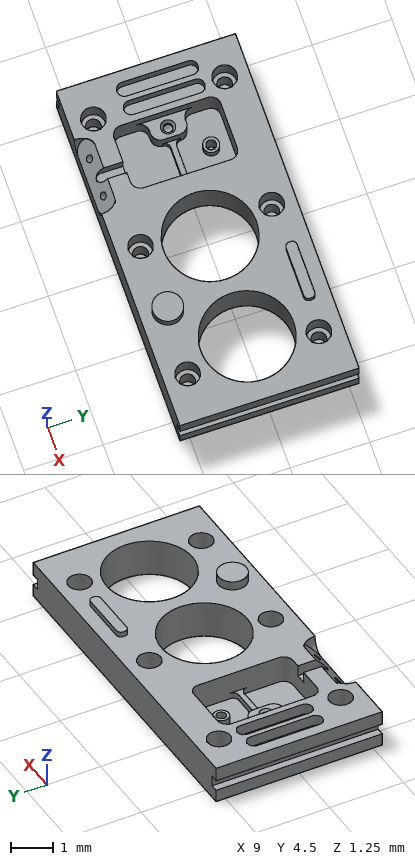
import cadquery as cq
import math

plate_length = 9.0
plate_width = 4.5
plate_thickness = 1.01
front_y = -plate_width / 2

side_groove_depth = 0.2
side_groove_bottom = 0.34
side_groove_height = 0.29

screw_first_x = -3.55
screw_pitch_x = 3.43
screw_columns = 3
screw_y = 1.65
screw_diameter = 0.38
screw_head_diameter = 0.6
screw_head_depth = 0.5

bore_diameter = 2.32
bore_x_positions = (0.17, 2.87)

slot_width = 0.37
slot_length = 2.03
slot_depth = 0.3
slot_y = 0.13
slot_x_positions = (-4.02, -3.53)

pocket_left = -3.18
pocket_length = 1.67
pocket_width = 2.68
pocket_depth = 0.74
pocket_corner_radius = 0.25
pocket_right = pocket_left + pocket_length
pocket_floor = plate_thickness - pocket_depth

pad_height = 0.43
rib_height = 0.16
pad_length = 0.56
pad_half_width = 0.45
pad_corner_radius = 0.24
pad_right = pocket_left + pad_length
rib_half_width = 0.07
rib_flare_radius = 0.15

pad_hole_x = -2.89
pad_hole_diameter = 0.23
pad_hole_depth = 0.15
countersink_diameter = 0.36
drill_point_angle = 118.0

post_x = -2.205
post_y = 0.85
post_diameter = 0.405
post_bore_diameter = 0.25
post_height = 0.22

recess_x = -2.2
recess_length = 2.0
recess_width = 0.6
pin_hole_pitch = 1.0
pin_hole_diameter = 0.19
pin_hole_depth = 0.4
recess_depth = recess_width / 2

channel_x = -2.14
channel_width = 0.29
channel_depth = 0.3
channel_start_y = -pocket_width / 2 + channel_width
channel_end_y = -2.05

bar_x = 1.74
bar_y = 1.73
bar_length = 1.51
bar_width = 0.28
bar_height = 0.14
bar_corner_radius = 0.12
boss_x = 1.63
boss_y = -1.57
boss_diameter = 0.76
boss_height = 0.24


def plane_at(height):
    """Horizontal workplane at the given height."""
    return cq.Workplane("XY").workplane(offset=height)


def make_plate():
    plate = cq.Workplane("XY").box(plate_length, plate_width, plate_thickness, centered=(True, True, False))
    for side in (-1, 1):
        groove = plane_at(side_groove_bottom).center(side * plate_length / 2, 0)
        plate = plate.cut(groove.rect(2 * side_groove_depth, plate_width).extrude(side_groove_height))
    return plate


def cut_holes_and_slots(body):
    screw_x_positions = [screw_first_x + i * screw_pitch_x for i in range(screw_columns)]
    screw_points = [(x, y) for x in screw_x_positions for y in (-screw_y, screw_y)]
    bore_points = [(x, 0) for x in bore_x_positions]
    slot_points = [(x, slot_y) for x in slot_x_positions]
    top = plane_at(plate_thickness)
    body = body.cut(top.pushPoints(screw_points).circle(screw_diameter / 2).extrude(-plate_thickness))
    body = body.cut(top.pushPoints(screw_points).circle(screw_head_diameter / 2).extrude(-screw_head_depth))
    body = body.cut(top.pushPoints(bore_points).circle(bore_diameter / 2).extrude(-plate_thickness))
    return body.cut(top.pushPoints(slot_points).slot2D(slot_length, slot_width, 90).extrude(-slot_depth))


def make_pocket():
    pocket = plane_at(pocket_floor).center(pocket_left + pocket_length / 2, 0)
    pocket = pocket.rect(pocket_length, pocket_width).extrude(pocket_depth)
    return pocket.edges("|Z").fillet(pocket_corner_radius)


def make_pad():
    """Pad against the left pocket wall, flared at the wall and rounded at its free corners."""
    r = pad_corner_radius
    flare_x = pocket_left + r
    round_x = pad_right - r
    flare_y = pad_half_width + r
    round_y = pad_half_width - r
    outline = plane_at(pocket_floor).moveTo(pocket_left, -flare_y)
    outline = outline.radiusArc((flare_x, -pad_half_width), r).lineTo(round_x, -pad_half_width)
    outline = outline.radiusArc((pad_right, -round_y), -r).lineTo(pad_right, round_y)
    outline = outline.radiusArc((round_x, pad_half_width), -r).lineTo(flare_x, pad_half_width)
    outline = outline.radiusArc((pocket_left, flare_y), r)
    return outline.close().extrude(pad_height)


def make_rib():
    """Thin rib from the pad to the right pocket wall, flared at both ends."""
    r = rib_flare_radius
    flare_y = rib_half_width + r
    outline = plane_at(pocket_floor).moveTo(pad_right, -flare_y)
    outline = outline.radiusArc((pad_right + r, -rib_half_width), r)
    outline = outline.lineTo(pocket_right - r, -rib_half_width)
    outline = outline.radiusArc((pocket_right, -flare_y), r).lineTo(pocket_right, flare_y)
    outline = outline.radiusArc((pocket_right - r, rib_half_width), r)
    outline = outline.lineTo(pad_right + r, rib_half_width)
    outline = outline.radiusArc((pad_right, flare_y), r)
    return outline.close().extrude(rib_height)


def make_pad_hole():
    """Countersunk blind hole as a profile revolved about its vertical axis."""
    hole_radius = pad_hole_diameter / 2
    rim_radius = countersink_diameter / 2
    countersink_depth = rim_radius - hole_radius
    point_depth = hole_radius / math.tan(math.radians(drill_point_angle / 2))
    profile = cq.Workplane("XZ", origin=(pad_hole_x, 0, pocket_floor + pad_height))
    profile = profile.lineTo(rim_radius, 0).lineTo(hole_radius, -countersink_depth)
    profile = profile.lineTo(hole_radius, -pad_hole_depth).lineTo(0, -pad_hole_depth - point_depth).close()
    return profile.revolve(360, (0, 0, 0), (0, 1, 0))


def add_post(body):
    post = plane_at(pocket_floor).center(post_x, post_y).circle(post_diameter / 2).extrude(post_height)
    bore = cq.Workplane("XY").center(post_x, post_y).circle(post_bore_diameter / 2).extrude(plate_thickness)
    return body.union(post).cut(bore)


def cut_edge_recess(body):
    """Slanted recess whose axis passes through the top front edge, with two pin holes in its floor."""
    outward = cq.Vector(0, -1, 1).normalized()
    edge_point = cq.Vector(recess_x, front_y, plate_thickness)
    floor = cq.Workplane(cq.Plane(edge_point - outward * recess_depth, (1, 0, 0), outward))
    recess = floor.slot2D(recess_length, recess_width).extrude(2 * recess_depth)
    pin_points = [(-pin_hole_pitch / 2, 0), (pin_hole_pitch / 2, 0)]
    pin_holes = floor.pushPoints(pin_points).circle(pin_hole_diameter / 2).extrude(-pin_hole_depth)
    return body.cut(recess).cut(pin_holes)


def make_channel():
    """Flat-bottomed channel running out of the pocket to a round end inside the recess."""
    channel_length = channel_start_y - channel_end_y
    channel = plane_at(plate_thickness).center(channel_x, channel_end_y + channel_length / 2)
    return channel.slot2D(channel_length, channel_width, 90).extrude(-channel_depth)


def add_top_features(body):
    bar = plane_at(plate_thickness).center(bar_x, bar_y).rect(bar_length, bar_width).extrude(bar_height)
    bar = bar.edges("|Z").fillet(bar_corner_radius)
    boss = plane_at(plate_thickness).center(boss_x, boss_y).circle(boss_diameter / 2).extrude(boss_height)
    return body.union(bar).union(boss)


result = cut_holes_and_slots(make_plate())
result = result.cut(make_pocket()).union(make_pad()).union(make_rib()).cut(make_pad_hole())
result = add_post(result)
result = cut_edge_recess(result).cut(make_channel())
result = add_top_features(result)